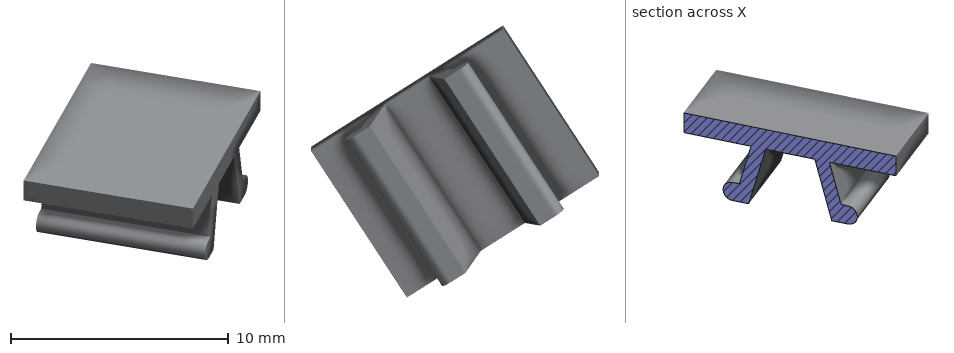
import cadquery as cq
import math

length_x = 8.15
width_y = 10.5
height_z = 4.2

plate_thickness = 1.08

leg_angle = 15.0
leg_inner_top = 1.21
leg_width = 0.75
bead_diameter = 1.0
bead_tip = 3.33

bead_radius = bead_diameter / 2
bead_center_y = bead_tip - bead_radius
plate_bottom = height_z - plate_thickness
lean = math.tan(math.radians(leg_angle))


def inner_face_y(z):
    """Distance from the mid-plane to a leg's inner face at height z."""
    return leg_inner_top + (plate_bottom - z) * lean


def make_plate():
    return (
        cq.Workplane("XY")
        .workplane(offset=plate_bottom)
        .rect(length_x, width_y)
        .extrude(plate_thickness)
    )


def make_leg():
    """Leg on the +Y side, with its rounded bead along the free edge."""
    root_z = plate_bottom + plate_thickness / 2
    return (
        cq.Workplane("YZ")
        .moveTo(inner_face_y(root_z), root_z)
        .lineTo(inner_face_y(0), 0)
        .lineTo(bead_center_y, 0)
        .threePointArc((bead_tip, bead_radius), (bead_center_y, bead_diameter))
        .lineTo(inner_face_y(bead_diameter) + leg_width, bead_diameter)
        .lineTo(inner_face_y(root_z) + leg_width, root_z)
        .close()
        .extrude(length_x / 2, both=True)
    )


leg = make_leg()
result = make_plate().union(leg).union(leg.mirror("XZ"))